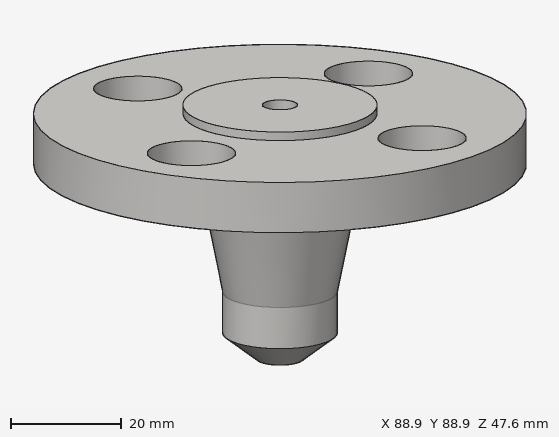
import cadquery as cq
import math

overall_height = 47.65
flange_diameter = 88.9
flange_thickness = 9.4
face_diameter = 35.0
face_height = 1.6
bore_diameter = 6.3

bolt_count = 4
bolt_circle_diameter = 60.4
bolt_hole_diameter = 15.9

blend_height = 5.1
hub_diameter = 28.3
pipe_diameter = 20.7
pipe_length = 7.7
tip_diameter = 8.45
tip_height = 4.9

face_z = flange_thickness + face_height
hub_top_z = -blend_height
tip_z = face_z - overall_height
pipe_bottom_z = tip_z + tip_height
pipe_top_z = pipe_bottom_z + pipe_length

hub_radius = hub_diameter / 2
pipe_radius = pipe_diameter / 2
taper_angle = math.atan2(hub_radius - pipe_radius, hub_top_z - pipe_top_z)
blend_radius = blend_height / (1 - math.sin(taper_angle))
blend_outer_radius = hub_radius + blend_radius * math.cos(taper_angle)

blend_mid_angle = (taper_angle + math.pi / 2) / 2
blend_mid_radius = blend_outer_radius - blend_radius * math.cos(blend_mid_angle)
blend_mid_z = -blend_radius + blend_radius * math.sin(blend_mid_angle)


def revolved_body():
    """Flange, raised face and stem turned about Z."""
    profile = (
        cq.Workplane("XZ")
        .moveTo(0, face_z)
        .lineTo(face_diameter / 2, face_z)
        .lineTo(face_diameter / 2, flange_thickness)
        .lineTo(flange_diameter / 2, flange_thickness)
        .lineTo(flange_diameter / 2, 0)
        .lineTo(blend_outer_radius, 0)
        .threePointArc((blend_mid_radius, blend_mid_z), (hub_radius, hub_top_z))
        .lineTo(pipe_radius, pipe_top_z)
        .lineTo(pipe_radius, pipe_bottom_z)
        .lineTo(tip_diameter / 2, tip_z)
        .lineTo(0, tip_z)
        .close()
    )
    return profile.revolve(360, (0, 0, 0), (0, 1, 0))


def bore():
    """Through bore along the axis."""
    return cq.Workplane("XY", origin=(0, 0, tip_z)).circle(bore_diameter / 2).extrude(overall_height)


def bolt_holes():
    """Ring of through holes in the flange, the first one on +X."""
    return (
        cq.Workplane("XY")
        .polarArray(bolt_circle_diameter / 2, 0, 360, bolt_count)
        .circle(bolt_hole_diameter / 2)
        .extrude(flange_thickness)
    )


result = revolved_body().cut(bore()).cut(bolt_holes())